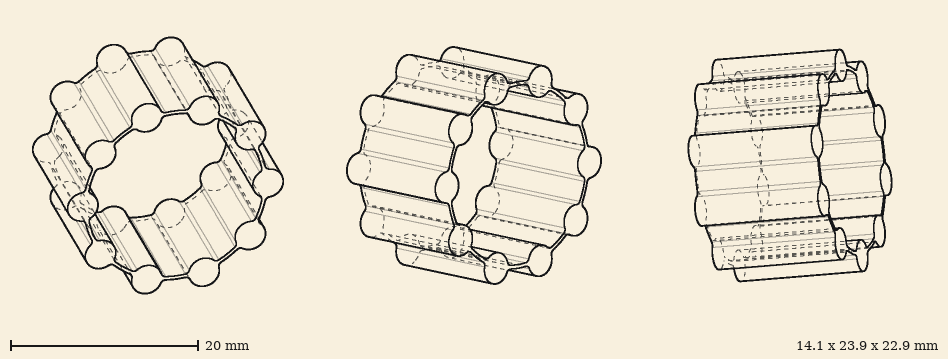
import cadquery as cq
import math

length = 14.07
outer_diameter = 23.9
rod_count = 10
rod_radius = 1.7
web_outer_radius = 10.15
web_thickness = 0.4
fillet_radius = 0.5

pitch_radius = outer_diameter / 2 - rod_radius
web_inner_radius = web_outer_radius - web_thickness


def ring_wall():
    """Thin cylindrical wall that becomes the webs between the rods."""
    wall = cq.Workplane("YZ").circle(web_outer_radius).circle(web_inner_radius)
    return wall.extrude(length / 2, both=True)


def rods():
    """Evenly spaced rods, the first one on the +Y axis."""
    centers = cq.Workplane("YZ").polarArray(pitch_radius, 0, 360, rod_count)
    return centers.circle(rod_radius).extrude(length / 2, both=True)


def junction_points():
    """Y and Z of the corners where the rods cross the two wall surfaces."""
    points = []
    for wall_radius in (web_outer_radius, web_inner_radius):
        cosine = (wall_radius**2 + pitch_radius**2 - rod_radius**2) / (2 * wall_radius * pitch_radius)
        half_angle = math.acos(cosine)
        for index in range(rod_count):
            rod_angle = 2 * math.pi * index / rod_count
            for angle in (rod_angle - half_angle, rod_angle + half_angle):
                points.append((wall_radius * math.cos(angle), wall_radius * math.sin(angle)))
    return points


def round_junctions(body):
    """Fillet the long corners between the rods and the webs."""
    edges = body.edges("|X")
    corners = [edges.edges(cq.NearestToPointSelector((0, y, z))).val() for y, z in junction_points()]
    return body.newObject(corners).fillet(fillet_radius)


result = round_junctions(ring_wall().union(rods()))